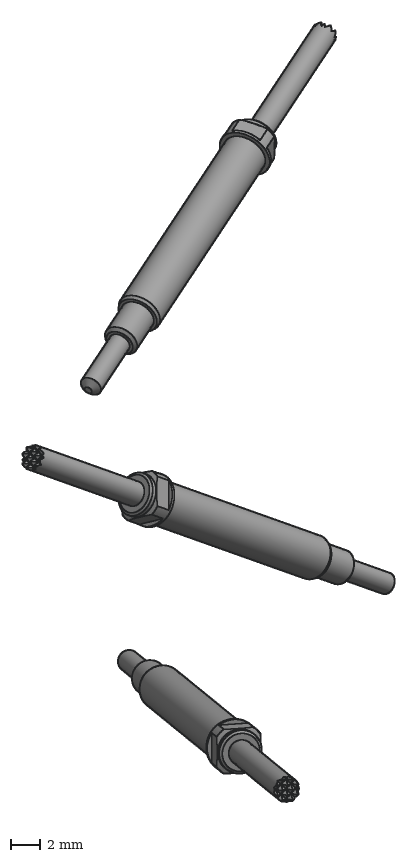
import cadquery as cq
import math

total_length = 38.0

tip_length = 0.4
neck_start = 5.0
body_start = 7.9
flange_start = 25.0
flange_thickness = 0.23
head_length = 1.75

flange_diameter = 3.75
tip_flat_radius = 0.25
tail_radius = 0.75
neck_radius = 1.2
body_radius = 1.55
flange_radius = flange_diameter / 2
shaft_radius = 0.87

neck_chamfer = 0.23
body_chamfer_length = 0.25
body_chamfer_depth = 0.1

head_width_across_flats = 3.1
collar_radius = 1.52
collar_length = 0.45
collar_chamfer_length = 0.1
collar_chamfer_depth = 0.2
shoulder_length = 0.1

tooth_pitch = 0.5
groove_count = 5
groove_angle = 60.0

flange_end = flange_start + flange_thickness
head_end = flange_end + head_length
collar_start = head_end - collar_length


def turn(profile):
    """Revolve (radius, y) points about the Y axis."""
    return cq.Workplane("XY").polyline(profile).close().revolve(360, (0, 0, 0), (0, 1, 0))


def make_barrel():
    """Tip, tail, neck, body, flange and the shaft carrying the crown."""
    return turn([
        (0, 0),
        (tip_flat_radius, 0),
        (tail_radius, tip_length),
        (tail_radius, neck_start),
        (neck_radius - neck_chamfer, neck_start),
        (neck_radius, neck_start + neck_chamfer),
        (neck_radius, body_start),
        (body_radius - body_chamfer_depth, body_start),
        (body_radius, body_start + body_chamfer_length),
        (body_radius, flange_start),
        (flange_radius, flange_start),
        (flange_radius, flange_end),
        (shaft_radius, flange_end),
        (shaft_radius, total_length),
        (0, total_length),
    ])


def make_head():
    """Turned blank with four flats; the blank's radius rounds the square's corners."""
    blank = turn([
        (0, flange_start),
        (flange_radius, flange_start),
        (flange_radius, collar_start - shoulder_length),
        (collar_radius, collar_start),
        (collar_radius, head_end - collar_chamfer_length),
        (collar_radius - collar_chamfer_depth, head_end),
        (0, head_end),
    ])
    square = cq.Workplane("XY").box(
        head_width_across_flats, head_end - flange_start, head_width_across_flats
    ).translate((0, (flange_start + head_end) / 2, 0))
    return blank.intersect(square)


def cut_crown(probe):
    """Cut two crossing sets of parallel V grooves into the shaft end, leaving pointed teeth."""
    half_pitch = tooth_pitch / 2
    groove_depth = half_pitch / math.tan(math.radians(groove_angle / 2))
    for index in range(groove_count):
        offset = (index - (groove_count - 1) / 2) * tooth_pitch
        groove = (
            cq.Workplane("XY")
            .polyline([
                (offset - half_pitch, total_length),
                (offset, total_length - groove_depth),
                (offset + half_pitch, total_length),
            ])
            .close()
            .extrude(2 * shaft_radius, both=True)
        )
        for direction in (-45, 45):
            probe = probe.cut(groove.rotate((0, 0, 0), (0, 1, 0), direction))
    return probe


result = cut_crown(make_barrel().union(make_head()))